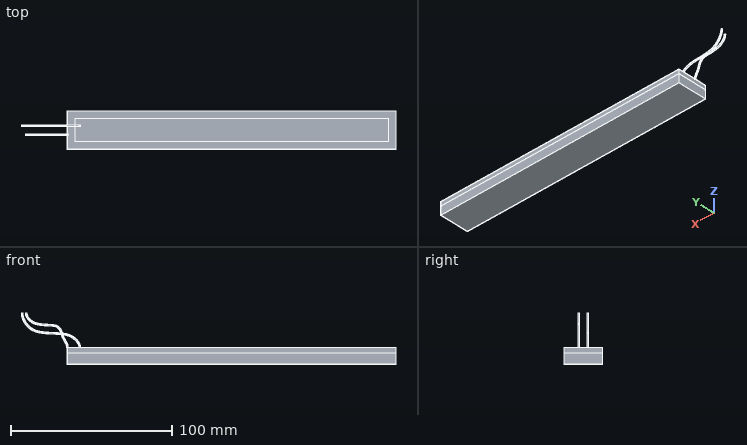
import cadquery as cq

block_length = 204.2
block_width = 24.0
base_height = 7.0
frame_height = 3.5
panel_width = 14.2
rim = (block_width - panel_width) / 2
panel_length = block_length - 2 * rim
top_z = base_height + frame_height

wire_diameter = 1.0
wire_offset = 2.8
wire_rise = 21.5

panel_wire_path = [
    (8.0, 0),
    (5.3, 5.0),
    (0.7, 7.7),
    (-5.1, 8.5),
    (-11.0, 8.8),
    (-17.0, 9.5),
    (-21.6, 11.2),
    (-25.5, 15.0),
    (-27.2, 18.0),
    (-28.0, wire_rise),
]
rim_wire_path = [
    (0.2, 0),
    (-2.5, 6.5),
    (-3.7, 10.0),
    (-6.3, 13.0),
    (-9.8, 13.7),
    (-17.7, 14.5),
    (-21.6, 15.8),
    (-24.2, 18.1),
    (-25.4, wire_rise),
]


def make_block(length, width, height, bottom_z):
    """Box from x = 0 to length, centred on the XZ plane."""
    return (
        cq.Workplane("XY", origin=(length / 2, 0, bottom_z))
        .box(length, width, height, centered=(True, True, False))
    )


def make_base():
    return make_block(block_length, block_width, base_height, 0)


def make_panel():
    return make_block(panel_length, panel_width, frame_height, base_height).translate((rim, 0, 0))


def make_frame():
    """Rim around the panel, open through its full height."""
    return make_block(block_length, block_width, frame_height, base_height).cut(make_panel())


def make_wire(path_points, y):
    """Round wire along a smooth curve that leaves the block and ends vertically."""
    points = [cq.Vector(x, y, top_z + height) for x, height in path_points]
    upward = cq.Vector(0, 0, 1)
    path = cq.Workplane(cq.Edge.makeSpline(points, tangents=[upward, upward], scale=False))
    return (
        cq.Workplane("XY", origin=points[0].toTuple())
        .circle(wire_diameter / 2)
        .sweep(cq.Workplane(cq.Wire.assembleEdges(path.vals())))
    )


base = make_base()
frame = make_frame()
panel = make_panel()
wires = [
    make_wire(path_points, y).val()
    for path_points, y in [(panel_wire_path, wire_offset), (rim_wire_path, -wire_offset)]
]

result = cq.Compound.makeCompound([base.val(), frame.val(), panel.val(), *wires])